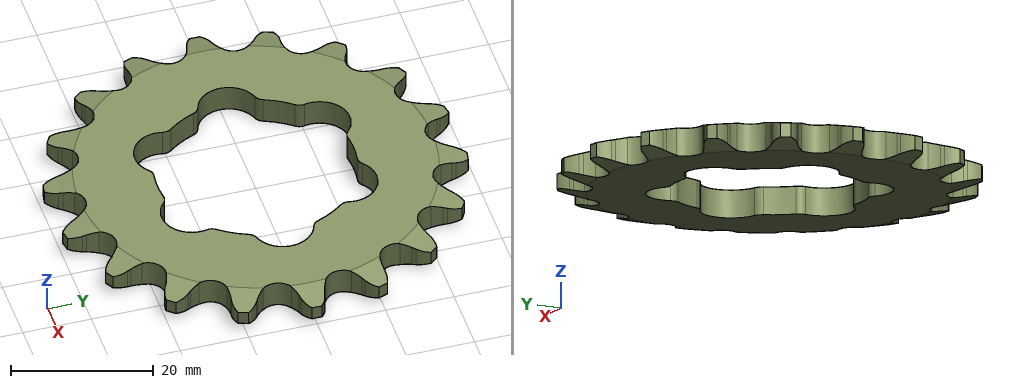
import cadquery as cq
import math

tooth_count = 18
outer_diameter = 59.75
roller_diameter = 5.1
thickness = 4.0

flat_face_radius = 25.7
tip_thickness = 2.05

opening_radius = 14.35
lobe_count = 6
lobe_centre_radius = 13.1
lobe_radius = 4.35
lobe_blend_radius = 1.55

half_pitch_angle = math.pi / tooth_count
chain_pitch = outer_diameter / (0.6 + 1 / math.tan(half_pitch_angle))
pitch_radius = chain_pitch / (2 * math.sin(half_pitch_angle))
outer_radius = outer_diameter / 2
seat_clearance = 0.05
seat_radius = (1.005 * roller_diameter + seat_clearance) / 2
seat_angle = math.radians(35 + 60 / tooth_count)
working_angle = math.radians(18 - 56 / tooth_count)
working_offset = 0.8 * roller_diameter
topping_offset = 1.4 * roller_diameter
flank_tilt = seat_angle - working_angle


def shifted(point, distance, angle):
    return (point[0] + distance * math.cos(angle), point[1] + distance * math.sin(angle))


def rotated(point, angle):
    x, y = point
    return (
        x * math.cos(angle) - y * math.sin(angle),
        x * math.sin(angle) + y * math.cos(angle),
    )


def left_flank_points():
    """Left half of the tooth gap centred on +Y, from the gap bottom to the tooth tip."""
    roller_centre = (0, pitch_radius)
    gap_bottom = (0, pitch_radius - seat_radius)

    seat_end = shifted(roller_centre, seat_radius, math.pi + seat_angle)

    working_centre = shifted(roller_centre, working_offset, seat_angle)
    working_radius = working_offset + seat_radius
    working_mid = shifted(working_centre, working_radius, math.pi + seat_angle - working_angle / 2)
    working_end = shifted(working_centre, working_radius, math.pi + flank_tilt)

    topping_centre = shifted(roller_centre, topping_offset, math.pi + half_pitch_angle)
    across_flank = (math.cos(flank_tilt), math.sin(flank_tilt))
    topping_radius = (
        (working_end[0] - topping_centre[0]) * across_flank[0]
        + (working_end[1] - topping_centre[1]) * across_flank[1]
    )
    topping_start = shifted(topping_centre, topping_radius, flank_tilt)

    topping_distance = math.hypot(*topping_centre)
    centre_direction = math.atan2(topping_centre[1], topping_centre[0])
    tip_cosine = (outer_radius**2 + topping_distance**2 - topping_radius**2) / (
        2 * outer_radius * topping_distance
    )
    tip = shifted((0, 0), outer_radius, centre_direction - math.acos(tip_cosine))
    tip_angle = math.atan2(tip[1] - topping_centre[1], tip[0] - topping_centre[0])
    topping_mid = shifted(topping_centre, topping_radius, (flank_tilt + tip_angle) / 2)

    return [gap_bottom, seat_end, working_mid, working_end, topping_start, topping_mid, tip]


def toothed_plate():
    left = left_flank_points()
    right = [(-x, y) for x, y in left]
    outline = cq.Workplane("XY").workplane(offset=-thickness / 2).moveTo(*left[-1])
    for tooth in range(tooth_count):
        turn = -2 * half_pitch_angle * tooth
        bottom, seat_end_l, work_l, work_end_l, top_start_l, top_l, _ = [
            rotated(point, turn) for point in left
        ]
        _, seat_end_r, work_r, work_end_r, top_start_r, top_r, tip_r = [
            rotated(point, turn) for point in right
        ]
        tooth_middle = rotated((0, outer_radius), turn - half_pitch_angle)
        next_tip = rotated(left[-1], turn - 2 * half_pitch_angle)
        outline = (
            outline.threePointArc(top_l, top_start_l)
            .lineTo(*work_end_l)
            .threePointArc(work_l, seat_end_l)
            .threePointArc(bottom, seat_end_r)
            .threePointArc(work_r, work_end_r)
            .lineTo(*top_start_r)
            .threePointArc(top_r, tip_r)
            .threePointArc(tooth_middle, next_tip)
        )
    return outline.close().extrude(thickness)


def bevelled_disc():
    """Disc with conical rims on both faces, which thins the teeth towards their tips."""
    overrun = 0.6
    slope = (thickness - tip_thickness) / 2 / (outer_radius - flat_face_radius)
    rim_radius = outer_radius + overrun
    rim_height = tip_thickness / 2 - overrun * slope
    half_section = [
        (0, -thickness / 2),
        (flat_face_radius, -thickness / 2),
        (rim_radius, -rim_height),
        (rim_radius, rim_height),
        (flat_face_radius, thickness / 2),
        (0, thickness / 2),
    ]
    return cq.Workplane("XZ").polyline(half_section).close().revolve(360, (0, 0), (0, 1))


def lobed_opening():
    base = cq.Workplane("XY").workplane(offset=-thickness / 2)
    lobes = base.polarArray(lobe_centre_radius, 0, 360, lobe_count).circle(lobe_radius).extrude(thickness)
    opening = base.circle(opening_radius).extrude(thickness).union(lobes)
    tolerance = 0.05
    corner_radius_limit = opening_radius + tolerance
    corners = opening.edges("|Z").filter(
        lambda edge: math.hypot(edge.Center().x, edge.Center().y) < corner_radius_limit
    )
    return corners.fillet(lobe_blend_radius)


result = toothed_plate().intersect(bevelled_disc()).cut(lobed_opening())